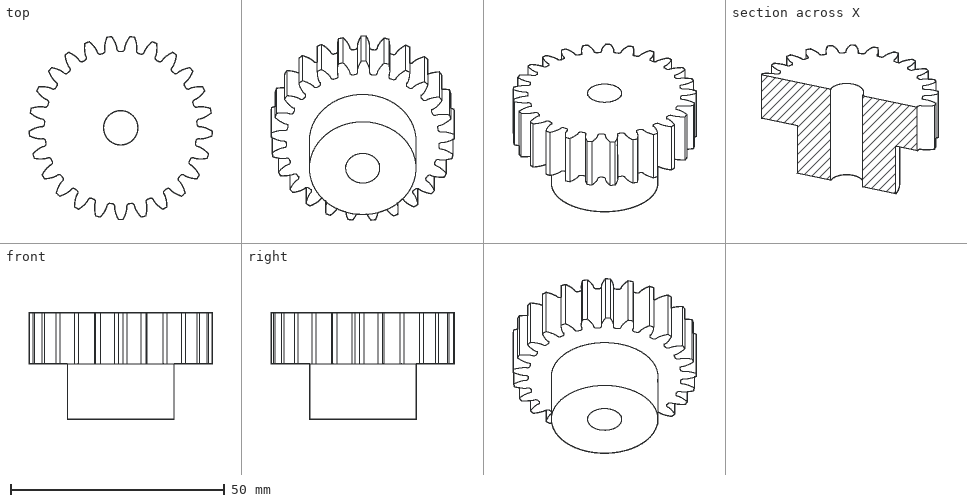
import cadquery as cq
import math

OVERALL_WIDTH = 42.95
TOOTH_COUNT = 25
PRESSURE_ANGLE = math.radians(20)
GEAR_THICKNESS = 12.0
HUB_LENGTH = 13.0
HUB_DIAMETER = 25.0
BORE_DIAMETER = 8.0

ADDENDUM = 1.0
DEDENDUM = 1.25
ROOT_FILLET = 0.38

FLANK_STEPS = 6


def involute(angle):
    """Involute function of a pressure angle, in radians."""
    return math.tan(angle) - angle


ANGULAR_PITCH = 2 * math.pi / TOOTH_COUNT
FIRST_TOOTH_ANGLE = -math.pi / 2
BASE_HALF_ANGLE = ANGULAR_PITCH / 4 + involute(PRESSURE_ANGLE)

TIP_RATIO = TOOTH_COUNT / (TOOTH_COUNT + 2 * ADDENDUM)
TIP_PRESSURE_ANGLE = math.acos(TIP_RATIO * math.cos(PRESSURE_ANGLE))
TIP_HALF_ANGLE = BASE_HALF_ANGLE - involute(TIP_PRESSURE_ANGLE)

WIDEST_CORNER_ANGLE = ANGULAR_PITCH / 4 - TIP_HALF_ANGLE

TIP_RADIUS = OVERALL_WIDTH / 2 / math.cos(WIDEST_CORNER_ANGLE)
PITCH_RADIUS = TIP_RADIUS * TIP_RATIO
MODULE = 2 * PITCH_RADIUS / TOOTH_COUNT
BASE_RADIUS = PITCH_RADIUS * math.cos(PRESSURE_ANGLE)
ROOT_RADIUS = PITCH_RADIUS - DEDENDUM * MODULE

FILLET_RADIUS = ROOT_FILLET * MODULE
FILLET_CENTER_RADIUS = ROOT_RADIUS + FILLET_RADIUS
FILLET_SPREAD = math.asin(FILLET_RADIUS / FILLET_CENTER_RADIUS)
FOOT_RADIUS = FILLET_CENTER_RADIUS * math.cos(FILLET_SPREAD)
ROOT_HALF_ANGLE = BASE_HALF_ANGLE + FILLET_SPREAD


def polar(radius, angle):
    return (radius * math.cos(angle), radius * math.sin(angle))


def fillet_middle(tooth_angle, side):
    """Midpoint of the root fillet on one side (-1 or +1) of a tooth."""
    fillet_angle = tooth_angle + side * ROOT_HALF_ANGLE
    center_x, center_y = polar(FILLET_CENTER_RADIUS, fillet_angle)
    toward_foot = fillet_angle - side * (FILLET_SPREAD + math.pi / 2)
    toward_root = fillet_angle - side * math.pi
    offset_x, offset_y = polar(FILLET_RADIUS, (toward_foot + toward_root) / 2)
    return (center_x + offset_x, center_y + offset_y)


def flank_points(tooth_angle, side):
    """Involute flank from the base circle out to the tip circle."""
    points = []
    for step in range(FLANK_STEPS + 1):
        roll = math.tan(TIP_PRESSURE_ANGLE) * step / FLANK_STEPS
        local_angle = math.atan(roll)
        radius = BASE_RADIUS / math.cos(local_angle)
        points.append(polar(radius, tooth_angle + side * (BASE_HALF_ANGLE - involute(local_angle))))
    return points


def add_tooth(outline, tooth_angle):
    """Continue the outline counterclockwise over one tooth and the root after it."""
    rising = flank_points(tooth_angle, -1)
    falling = flank_points(tooth_angle, 1)[::-1]
    next_root_middle = tooth_angle + ANGULAR_PITCH / 2
    next_root_end = tooth_angle + ANGULAR_PITCH - ROOT_HALF_ANGLE
    return (
        outline
        .threePointArc(fillet_middle(tooth_angle, -1), polar(FOOT_RADIUS, tooth_angle - BASE_HALF_ANGLE))
        .lineTo(*rising[0])
        .spline(rising[1:], includeCurrent=True)
        .threePointArc(polar(TIP_RADIUS, tooth_angle), falling[0])
        .spline(falling[1:], includeCurrent=True)
        .lineTo(*polar(FOOT_RADIUS, tooth_angle + BASE_HALF_ANGLE))
        .threePointArc(fillet_middle(tooth_angle, 1), polar(ROOT_RADIUS, tooth_angle + ROOT_HALF_ANGLE))
        .threePointArc(polar(ROOT_RADIUS, next_root_middle), polar(ROOT_RADIUS, next_root_end))
    )


def make_gear():
    start = polar(ROOT_RADIUS, FIRST_TOOTH_ANGLE - ROOT_HALF_ANGLE)
    outline = cq.Workplane("XY").workplane(offset=HUB_LENGTH).moveTo(*start)
    for tooth in range(TOOTH_COUNT):
        outline = add_tooth(outline, FIRST_TOOTH_ANGLE + tooth * ANGULAR_PITCH)
    return outline.close().extrude(GEAR_THICKNESS)


def make_hub():
    return cq.Workplane("XY").circle(HUB_DIAMETER / 2).extrude(HUB_LENGTH)


def make_bore():
    return cq.Workplane("XY").circle(BORE_DIAMETER / 2).extrude(HUB_LENGTH + GEAR_THICKNESS)


result = make_hub().union(make_gear()).cut(make_bore())